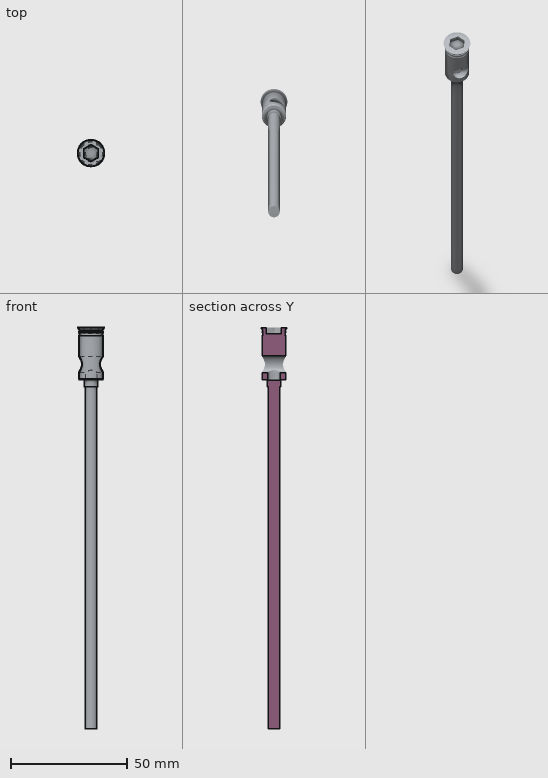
import cadquery as cq
import math

total_length = 172.5
flange_diameter = 11.5

rod_diameter = 5.0
rod_length = 147.0
collar_diameter = 6.0
collar_length = 3.0

head_diameter = 10.5
head_bottom_chamfer = 0.4
head_top_depth = 3.65
neck_diameter = 10.0
neck_blend_radius = 0.75
flange_cone_height = 1.1
ridge_depth = 1.75
ridge_thickness = 0.5

cross_hole_diameter = 7.0
cross_hole_depth = 15.8

bore_diameter = 5.0
bore_bottom = rod_length + collar_length

socket_width = 6.24
socket_depth = 2.5


def blend_height(outward):
    """Axial length of the concave neck blend after it has moved outward by a distance."""
    return math.sqrt(neck_blend_radius**2 - (neck_blend_radius - outward) ** 2)


def make_turned_body():
    """Rod, collar, head, ridge and flange as one profile turned about Z."""
    rod_radius = rod_diameter / 2
    collar_radius = collar_diameter / 2
    head_radius = head_diameter / 2
    neck_radius = neck_diameter / 2
    flange_radius = flange_diameter / 2

    head_bottom = rod_length + collar_length
    head_top = total_length - head_top_depth
    ridge_top = total_length - ridge_depth
    ridge_bottom = ridge_top - ridge_thickness

    head_rise = head_radius - neck_radius
    neck_bottom = head_top + blend_height(head_rise)
    neck_top = total_length - flange_cone_height
    head_blend_middle = (neck_radius + head_rise / 2, neck_bottom - blend_height(head_rise / 2))

    profile = (
        cq.Workplane("XZ")
        .lineTo(rod_radius, 0)
        .lineTo(rod_radius, rod_length)
        .lineTo(collar_radius, rod_length)
        .lineTo(collar_radius, head_bottom)
        .lineTo(head_radius - head_bottom_chamfer, head_bottom)
        .lineTo(head_radius, head_bottom + head_bottom_chamfer)
        .lineTo(head_radius, head_top)
        .threePointArc(head_blend_middle, (neck_radius, neck_bottom))
        .lineTo(neck_radius, ridge_bottom)
        .lineTo(head_radius, ridge_bottom)
        .lineTo(head_radius, ridge_top)
        .lineTo(neck_radius, ridge_top)
        .lineTo(neck_radius, neck_top)
        .lineTo(flange_radius, total_length)
        .lineTo(0, total_length)
        .close()
    )
    return profile.revolve(360, (0, 0, 0), (0, 1, 0))


def make_cross_hole():
    """Cylinder along X, long enough to pass through the head."""
    return (
        cq.Workplane("YZ")
        .center(0, total_length - cross_hole_depth)
        .circle(cross_hole_diameter / 2)
        .extrude(flange_diameter, both=True)
    )


def make_bore():
    """Axial bore that opens into the cross hole from below."""
    bore_length = total_length - cross_hole_depth - bore_bottom
    return (
        cq.Workplane("XY", origin=(0, 0, bore_bottom))
        .circle(bore_diameter / 2)
        .extrude(bore_length)
    )


def make_socket():
    """Hexagonal recess in the flange face, corners facing Y."""
    corner_diameter = socket_width / math.cos(math.pi / 6)
    return (
        cq.Workplane("XY", origin=(0, 0, total_length - socket_depth))
        .transformed(rotate=(0, 0, 90))
        .polygon(6, corner_diameter)
        .extrude(socket_depth)
    )


result = make_turned_body().cut(make_cross_hole()).cut(make_bore()).cut(make_socket())